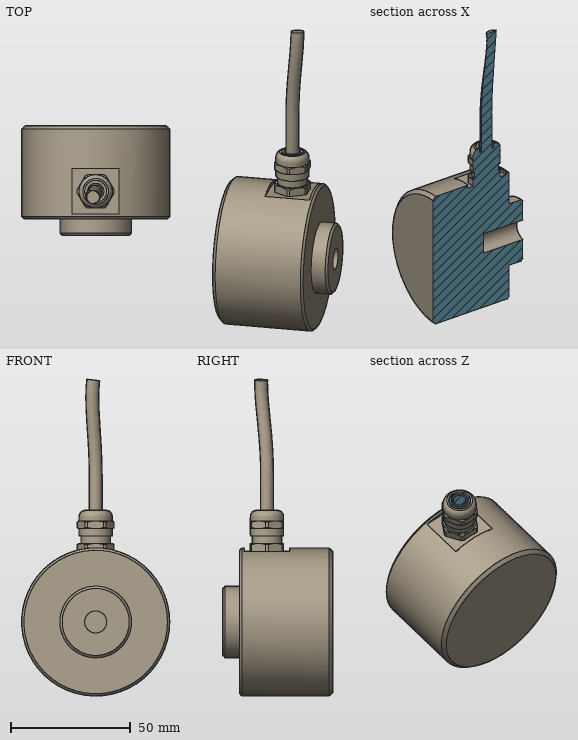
import cadquery as cq
import math

body_diameter = 62.0
body_length = 39.0
front_chamfer = 1.0
back_chamfer = 1.5
body_radius = body_diameter / 2

boss_diameter = 30.0
boss_height = 7.0
boss_chamfer = 1.0
hole_diameter = 9.2
hole_depth = 20.0

seat_length = 19.0
seat_height = 29.4
seat_crown_radius = 29.6
gland_y = 11.5

hex_across_flats = 14.0
hex_round_diameter = 15.5
hex_chamfer_angle = 30.0
base_hex_top = 3.4
collar_bottom = 6.6
cap_hex_bottom = 9.6
cap_hex_top = 12.8
cap_shoulder = 14.5
grommet_top = 17.45
collar_radius = hex_across_flats / 2
neck_radius = 6.25
cap_round_radius = 3.0
cap_rim_radius = 5.4
grommet_radius = 4.6
grommet_bore_radius = 3.4
grommet_bore_depth = 2.0

cable_radius = 2.75
bend_start_z = 61.6
bend_points = [
    (0.0, gland_y, bend_start_z),
    (-1.15, gland_y - 1.5, 86.0),
    (-1.0, gland_y - 2.4, 101.15),
]
bend_start_direction = (0, 0, 1)
bend_end_direction = (0.13, 0.03, 1)


def disc(diameter, y_start, y_end):
    """Cylinder on the drum axis between two Y positions."""
    return (
        cq.Workplane("XZ", origin=(0, y_start, 0))
        .circle(diameter / 2)
        .extrude(y_start - y_end)
    )


def make_body():
    drum = disc(body_diameter, 0, body_length)
    drum = drum.faces("<Y").chamfer(front_chamfer)
    drum = drum.faces(">Y").chamfer(back_chamfer)
    boss = disc(boss_diameter, -boss_height, 0).faces("<Y").chamfer(boss_chamfer)
    hole = disc(hole_diameter, -boss_height, hole_depth - boss_height)
    return drum.union(boss).cut(hole)


def make_seat_cutter():
    """Block above the seat flat, less the round core that crowns its middle."""
    depth = body_radius - seat_height
    y_front = gland_y - seat_length / 2
    block = (
        cq.Workplane("XY", origin=(0, gland_y, seat_height))
        .rect(body_diameter, seat_length)
        .extrude(depth)
    )
    core = disc(2 * seat_crown_radius, y_front, y_front + seat_length)
    return block.cut(core)


def gland_plane(level):
    """Horizontal workplane on the gland axis at a level above the seat flat."""
    return cq.Workplane("XY", origin=(0, gland_y, seat_height + level))


def revolve_gland(profile):
    """Close and turn a (radius, level) profile about the gland axis."""
    return profile.close().revolve(360, (0, 0), (0, 1))


def gland_profile():
    """Upright workplane whose origin is the gland axis at the seat flat."""
    return cq.Workplane("XZ", origin=(0, gland_y, seat_height))


def make_hex(bottom, top, chamfer_bottom):
    """Hexagon with rounded corners, coned at the top and optionally at the bottom."""
    corner_diameter = hex_across_flats / math.cos(math.pi / 6)
    hexagon = gland_plane(bottom).polygon(6, corner_diameter).extrude(top - bottom)
    round_radius = hex_round_diameter / 2
    cone_width = round_radius - collar_radius
    cone_height = cone_width * math.tan(math.radians(hex_chamfer_angle))
    envelope = gland_profile().moveTo(0, bottom)
    if chamfer_bottom:
        envelope = envelope.lineTo(collar_radius, bottom)
        envelope = envelope.lineTo(round_radius, bottom + cone_height)
    else:
        envelope = envelope.lineTo(round_radius, bottom)
    envelope = (
        envelope.lineTo(round_radius, top - cone_height)
        .lineTo(collar_radius, top)
        .lineTo(0, top)
    )
    return hexagon.intersect(revolve_gland(envelope))


def cap_round_level(radius):
    """Level of the cap's rounded shoulder at a given radius."""
    offset = radius - (collar_radius - cap_round_radius)
    return cap_shoulder + math.sqrt(cap_round_radius**2 - offset**2)


def make_gland():
    rim_level = cap_round_level(cap_rim_radius)
    middle_radius = (collar_radius + cap_rim_radius) / 2
    bore_floor = grommet_top - grommet_bore_depth
    turned = (
        gland_profile()
        .lineTo(neck_radius, 0)
        .lineTo(neck_radius, collar_bottom)
        .lineTo(collar_radius, collar_bottom)
        .lineTo(collar_radius, cap_shoulder)
        .threePointArc((middle_radius, cap_round_level(middle_radius)), (cap_rim_radius, rim_level))
        .lineTo(grommet_radius, rim_level)
        .lineTo(grommet_radius, grommet_top)
        .lineTo(grommet_bore_radius, grommet_top)
        .lineTo(grommet_bore_radius, bore_floor)
        .lineTo(0, bore_floor)
    )
    base_hex = make_hex(0, base_hex_top, False)
    cap_hex = make_hex(cap_hex_bottom, cap_hex_top, True)
    return revolve_gland(turned).union(base_hex).union(cap_hex)


def make_cable():
    straight_length = bend_start_z - seat_height - cap_shoulder
    straight = gland_plane(cap_shoulder).circle(cable_radius).extrude(straight_length)
    path = cq.Workplane("XY").spline(
        bend_points, tangents=[bend_start_direction, bend_end_direction]
    )
    bend = cq.Workplane("XY", origin=bend_points[0]).circle(cable_radius).sweep(path)
    return straight.union(bend)


result = make_body().cut(make_seat_cutter()).union(make_gland()).union(make_cable())